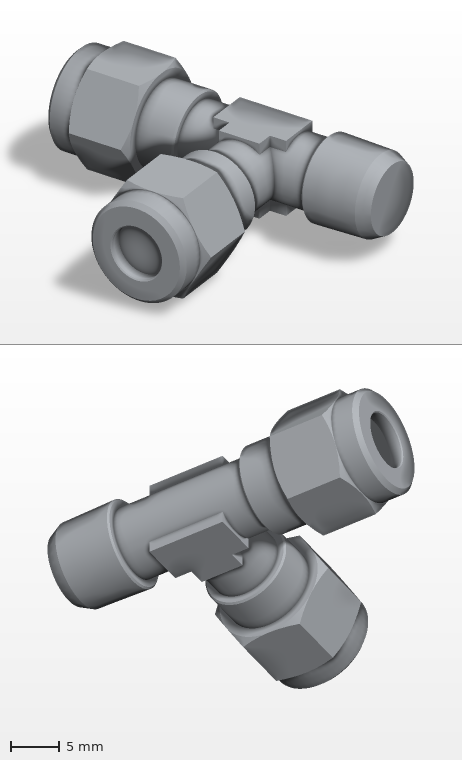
import cadquery as cq
import math

left_reach = 23.0
right_reach = 16.0
branch_reach = 24.0

body_radius = 4.0
pad_half_length = 4.5
pad_half_height = 4.5
pad_half_width = 2.5
pad_stem_reach = 4.5

nut_length = 15.1
collar_length = 3.0
collar_radius = 5.9
collar_chamfer = 0.5
hex_length = 7.5
hex_across_flats = 12.0
hex_chamfer_angle = 30
sleeve_radius = 4.95
sleeve_chamfer = 0.2

socket_radius = 3.1
socket_mouth_radius = 3.2
socket_depth = 1.5
socket_chamfer = socket_mouth_radius - socket_radius

plug_start = 7.9
plug_cone_length = 1.5
plug_base_radius = 5.0
plug_shoulder_radius = 4.85
plug_tip_radius = 4.05
plug_edge_chamfer = 0.2


def revolve_profile(points):
    """Revolve an (axial position, radius) outline about the X axis."""
    return cq.Workplane("XY").polyline(points).close().revolve(360, (0, 0, 0), (1, 0, 0))


def make_hexagon(start):
    """Hexagon along +X with flats facing +/-Z and both ends chamfered."""
    flat_radius = hex_across_flats / 2
    corner_radius = flat_radius / math.cos(math.radians(30))
    chamfer_depth = (corner_radius - flat_radius) * math.tan(math.radians(hex_chamfer_angle))
    end = start + hex_length
    prism = cq.Workplane("YZ", origin=(start, 0, 0)).polygon(6, 2 * corner_radius).extrude(hex_length)
    envelope = revolve_profile([
        (start, 0),
        (start, flat_radius),
        (start + chamfer_depth, corner_radius),
        (end - chamfer_depth, corner_radius),
        (end, flat_radius),
        (end, 0),
    ])
    return prism.intersect(envelope)


def make_nut_arm(reach):
    """Tube arm along +X carrying a compression nut, with a blind socket in its end."""
    nut_start = reach - nut_length
    collar_start = reach - collar_length
    hex_start = collar_start - hex_length
    turned = revolve_profile([
        (0, 0),
        (0, body_radius),
        (nut_start, body_radius),
        (nut_start, sleeve_radius - sleeve_chamfer),
        (nut_start + sleeve_chamfer, sleeve_radius),
        (collar_start, sleeve_radius),
        (collar_start, collar_radius),
        (reach - collar_chamfer, collar_radius),
        (reach, collar_radius - collar_chamfer),
        (reach, 0),
    ])
    socket = revolve_profile([
        (reach - socket_depth, 0),
        (reach - socket_depth, socket_radius),
        (reach - socket_chamfer, socket_radius),
        (reach, socket_mouth_radius),
        (reach, 0),
    ])
    return turned.union(make_hexagon(hex_start)).cut(socket)


def make_plug_arm():
    """Tube arm along +X ending in a slightly tapered plug with a conical tip."""
    return revolve_profile([
        (0, 0),
        (0, body_radius),
        (plug_start, body_radius),
        (plug_start, plug_base_radius - plug_edge_chamfer),
        (plug_start + plug_edge_chamfer, plug_base_radius),
        (right_reach - plug_cone_length, plug_shoulder_radius),
        (right_reach, plug_tip_radius),
        (right_reach, 0),
    ])


def make_pad():
    """T-shaped block standing proud of the tubes on both the top and the bottom."""
    height = 2 * pad_half_height
    bar = cq.Workplane("XY").box(2 * pad_half_length, 2 * pad_half_width, height)
    stem = (
        cq.Workplane("XY")
        .box(2 * pad_half_width, pad_stem_reach, height)
        .translate((0, -pad_stem_reach / 2, 0))
    )
    return bar.union(stem)


left_arm = make_nut_arm(left_reach).rotate((0, 0, 0), (0, 0, 1), 180)
branch_arm = make_nut_arm(branch_reach).rotate((0, 0, 0), (0, 0, 1), -90)

result = left_arm.union(make_plug_arm()).union(branch_arm).union(make_pad())